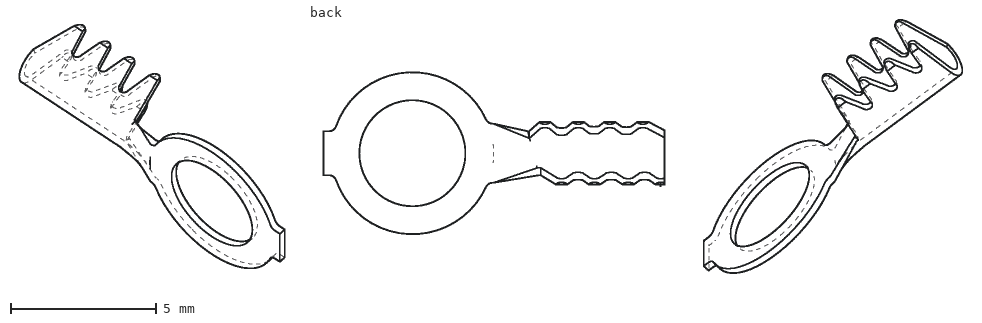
import cadquery as cq
import math

length = 11.76
thickness = 0.26
depth = 2.56

ring_diameter = 5.59
hole_radius = 1.82
ring_x = 8.69
tab_half_width = 0.76
neck_half_width = 1.02
corner_radius = 0.24

barrel_radius = 0.78
flare_angle = 11.0
barrel_end_x = 4.53
end_slant = 0.25

plate_start_x = 5.92

tip_half_width = 0.15
tip_round = 0.12
tip_bevel_depth = 0.25
tip_bevel_rise = 0.13
valley_radius = 0.19
upper_tips = [0.75, 1.89, 2.98, 4.13]
upper_valley_depths = [1.35, 1.43, 1.21]
upper_heel_x = 4.67
upper_toe_depth = 0.76
lower_tips = [0.13, 1.26, 2.42, 3.55]
lower_valley_depths = [1.41, 1.41, 1.41]
lower_heel_x = 4.27

flare = math.radians(flare_angle)
ring_radius = ring_diameter / 2
inner_radius = barrel_radius - thickness
wing_root_y = barrel_radius * (1 - math.sin(flare))
wing_root_z = barrel_radius * math.cos(flare)


def along_wing(y):
    """Distance from the wing root, measured along the sloping sheet."""
    return (y - wing_root_y) / math.cos(flare)


def make_plate():
    tab_length = length - ring_x
    ring = cq.Workplane("XZ").center(ring_x, 0).circle(ring_radius).extrude(-thickness)
    tab = (cq.Workplane("XZ").center(ring_x + tab_length / 2, 0)
           .rect(tab_length, 2 * tab_half_width).extrude(-thickness))
    neck_length = ring_x - plate_start_x
    neck = (cq.Workplane("XZ").center(plate_start_x + neck_length / 2, 0)
            .rect(neck_length, 2 * neck_half_width).extrude(-thickness))
    plate = ring.union(tab).union(neck)
    tab_root = ring_x + math.sqrt(ring_radius**2 - tab_half_width**2)
    neck_root = ring_x - math.sqrt(ring_radius**2 - neck_half_width**2)
    roots = [(tab_root, tab_half_width), (neck_root, neck_half_width)]
    for x, z in roots:
        for side in (-1, 1):
            corner = cq.selectors.NearestToPointSelector((x, thickness / 2, side * z))
            plate = plate.edges("|Y").edges(corner).fillet(corner_radius)
    hole = cq.Workplane("XZ").center(ring_x, 0).circle(hole_radius).extrude(-thickness)
    return plate.cut(hole)


def barrel_section(x):
    """Round back of the barrel, ending square to the sheet at both wing roots."""
    inner_y = barrel_radius - inner_radius * math.sin(flare)
    inner_z = inner_radius * math.cos(flare)
    return (cq.Workplane("YZ", origin=(x, 0, 0))
            .moveTo(wing_root_y, -wing_root_z)
            .threePointArc((0, 0), (wing_root_y, wing_root_z))
            .lineTo(inner_y, inner_z)
            .threePointArc((thickness, 0), (inner_y, -inner_z))
            .close())


def flat_section(x):
    return (cq.Workplane("YZ", origin=(x, 0, 0))
            .moveTo(0, -neck_half_width)
            .lineTo(0, neck_half_width)
            .lineTo(thickness, neck_half_width)
            .lineTo(thickness, -neck_half_width)
            .close())


def slanted_barrel_end():
    """Barrel section sheared along X to follow the slanted barrel end."""
    shear = cq.Matrix([[1, 0, end_slant, 0], [0, 1, 0, 0], [0, 0, 1, 0]])
    return barrel_section(barrel_end_x).wire().val().transformGeometry(shear)


def make_back():
    back = barrel_section(0).extrude(plate_start_x)
    half_height = 2 * barrel_radius
    end_shift = end_slant * half_height
    beyond_end = (cq.Workplane("XZ")
                  .moveTo(barrel_end_x - end_shift, -half_height)
                  .lineTo(barrel_end_x + end_shift, half_height)
                  .lineTo(length, half_height)
                  .lineTo(length, -half_height)
                  .close()
                  .extrude(-depth))
    return back.cut(beyond_end)


def make_neck():
    flat_end = flat_section(plate_start_x).wire().val()
    return cq.Workplane(cq.Solid.makeLoft([slanted_barrel_end(), flat_end], True))


def make_wing(tips, valley_depths, heel_x, toe_depth):
    """Toothed wing on the +Z side, laid out flat and then tilted to its flare."""
    tip = along_wing(depth - thickness * math.sin(flare))
    shoulder = tip - tip_round
    toe = along_wing(toe_depth)
    outline = cq.Workplane("XY").lineTo(0, toe)
    for index, x in enumerate(tips):
        left = max(x - tip_half_width, 0)
        outline = outline.lineTo(left, shoulder)
        outline = outline.threePointArc((x, tip), (x + tip_half_width, shoulder))
        if index < len(valley_depths):
            valley_x = (x + tips[index + 1]) / 2
            bottom = along_wing(valley_depths[index])
            rim = bottom + valley_radius
            outline = outline.lineTo(valley_x - valley_radius, rim)
            outline = outline.threePointArc((valley_x, bottom), (valley_x + valley_radius, rim))
    wing = outline.lineTo(heel_x, 0).close().extrude(-thickness)
    bevel = (cq.Workplane("YZ")
             .moveTo(tip - tip_bevel_depth, 0)
             .lineTo(tip, 0)
             .lineTo(tip, -tip_bevel_rise)
             .close()
             .extrude(heel_x))
    return (wing.cut(bevel)
            .rotate((0, 0, 0), (1, 0, 0), flare_angle)
            .translate((0, wing_root_y, wing_root_z)))


upper_wing = make_wing(upper_tips, upper_valley_depths, upper_heel_x, upper_toe_depth)
lower_wing = make_wing(lower_tips, lower_valley_depths, lower_heel_x, depth - tip_round).mirror("XY")

result = make_back()
for piece in (upper_wing, lower_wing, make_neck(), make_plate()):
    result = result.union(piece)